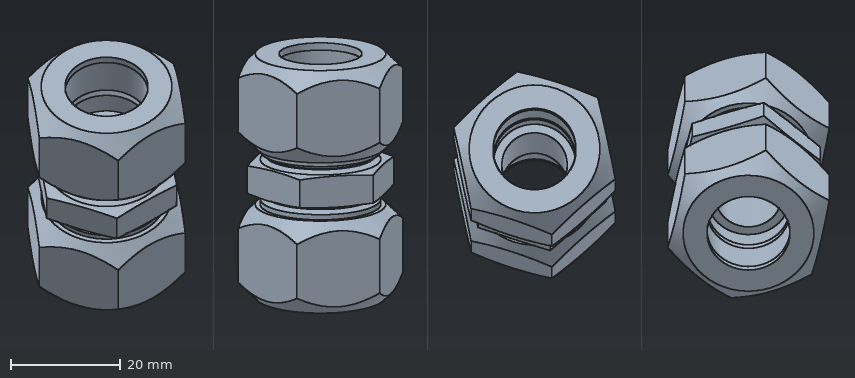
import cadquery as cq
import math

total_height = 46.0
tube_hole_radius = 7.6

nut_width = 27.0
nut_height = 17.5
nut_face_radius = 11.95
nut_lip = 1.4

body_length = 32.0
body_width = 24.0
collar_height = 6.0
collar_face_radius = 11.78
collar_corner_drop = 0.35
thread_radius = 11.05
neck_radius = 9.95
neck_length = 0.2
groove_flank = 0.7
body_bore_radius = 6.0
socket_depth = 7.0
taper_depth = 2.95
taper_angle = 30.0

nose_clearance = 1.4

half_height = total_height / 2
nut_bottom = half_height - nut_height
lip_bottom = half_height - nut_lip
body_end = body_length / 2
tube_stop = body_end - socket_depth
taper_bottom = body_end - taper_depth
ring_tip = taper_bottom + nose_clearance
collar_top = collar_height / 2
neck_bottom = collar_top + groove_flank
neck_top = neck_bottom + neck_length
thread_start = neck_top + groove_flank


def taper_radius(height):
    """Radius of the conical mouth at a height."""
    return tube_hole_radius + (height - taper_bottom) * math.tan(math.radians(taper_angle))


ring_radius = taper_radius(body_end)


def corner_radius(width_across_flats):
    return width_across_flats / math.sqrt(3)


def hexagon(width_across_flats, bottom, top):
    """Hexagonal prism with two corners on the X axis."""
    return (
        cq.Workplane("XY", origin=(0, 0, bottom))
        .polygon(6, 2 * corner_radius(width_across_flats))
        .extrude(top - bottom)
    )


def cylinder(radius, bottom, top):
    return cq.Workplane("XY", origin=(0, 0, bottom)).circle(radius).extrude(top - bottom)


def turned(profile):
    """Solid turned about Z from (radius, height) points."""
    return cq.Workplane("XZ").polyline(profile).close().revolve(360, (0, 0), (0, 1))


def chamfered_hexagon(width_across_flats, bottom, top, face_radius, corner_drop):
    """Hexagonal prism with its corners turned off conically at both ends."""
    corner = corner_radius(width_across_flats)
    envelope = turned([
        (0, bottom),
        (face_radius, bottom),
        (corner, bottom + corner_drop),
        (corner, top - corner_drop),
        (face_radius, top),
        (0, top),
    ])
    return hexagon(width_across_flats, bottom, top).intersect(envelope)


def make_body():
    """Hexagonal collar with a threaded spigot and a stepped tube socket at each end."""
    collar = chamfered_hexagon(
        body_width, -collar_top, collar_top, collar_face_radius, collar_corner_drop
    )
    bore = cylinder(body_bore_radius, -collar_top, collar_top)
    upper_spigot = turned([
        (body_bore_radius, 0),
        (thread_radius, 0),
        (thread_radius, collar_top),
        (neck_radius, neck_bottom),
        (neck_radius, neck_top),
        (thread_radius, thread_start),
        (thread_radius, body_end),
        (ring_radius, body_end),
        (tube_hole_radius, taper_bottom),
        (tube_hole_radius, tube_stop),
        (body_bore_radius, tube_stop),
    ])
    return collar.cut(bore).union(upper_spigot).union(upper_spigot.mirror("XY"))


def make_nut():
    """Upper clamping nut: threaded cavity, ring seat, and a lip around the tube hole."""
    corner_drop = corner_radius(nut_width) - nut_face_radius
    blank = chamfered_hexagon(nut_width, nut_bottom, half_height, nut_face_radius, corner_drop)
    cavity = cylinder(thread_radius, nut_bottom, body_end)
    ring_seat = cylinder(ring_radius, body_end, lip_bottom)
    tube_hole = cylinder(tube_hole_radius, lip_bottom, half_height)
    return blank.cut(cavity).cut(ring_seat).cut(tube_hole)


def make_ring():
    """Upper clamping ring: a sleeve whose tapered nose sits in the mouth of the body."""
    return turned([
        (tube_hole_radius, ring_tip),
        (taper_radius(ring_tip), ring_tip),
        (ring_radius, body_end),
        (ring_radius, lip_bottom),
        (tube_hole_radius, lip_bottom),
    ])


body = make_body()
nuts = []
rings = []
for turn in (0, 180):
    nuts.append(make_nut().rotate((0, 0, 0), (1, 0, 0), turn).val())
    rings.append(make_ring().rotate((0, 0, 0), (1, 0, 0), turn).val())

result = cq.Compound.makeCompound([body.val(), *nuts, *rings])